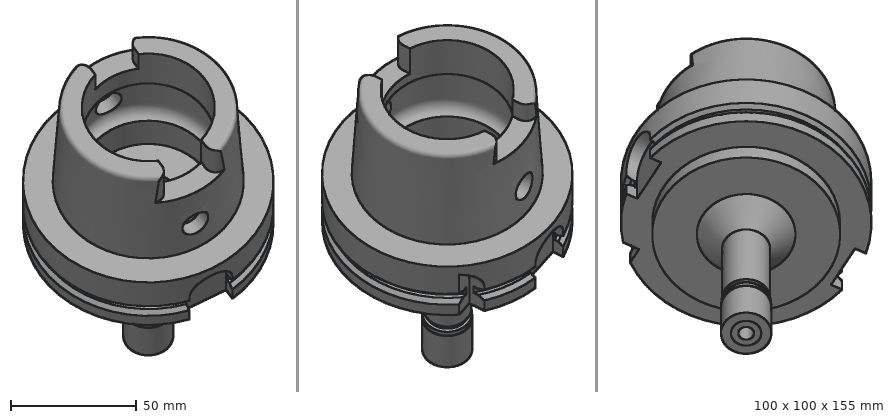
import cadquery as cq

TOTAL_HEIGHT = 155.0
FLANGE_TOP = 105.0
FLANGE_BOTTOM = 76.0
SPIGOT_BOTTOM = 68.5
SHAFT_TOP = 58.3
SHAFT_BOTTOM = 23.9
NUT_TOP = 21.1
NUT_COLLAR_BOTTOM = 18.8

TAPER_BASE_RADIUS = 38.1
TAPER_TOP_RADIUS = 35.5
TAPER_TOP_ROUND = 2.0
BORE_RADIUS = 26.5
UNDERCUT_RADIUS = 31.5
UNDERCUT_TOP = 134.7
UNDERCUT_ROUND_TOP = 114.2
UNDERCUT_BOTTOM = UNDERCUT_ROUND_TOP - (UNDERCUT_RADIUS - BORE_RADIUS)
CAVITY_FLOOR = 93.5

THREAD_HOLE_RADIUS = 12.1
THREAD_HOLE_BOTTOM = 80.6
PASSAGE_RADIUS = 6.0

DRIVE_SLOT_WIDTH = 20.0
DRIVE_SLOT_ROUND = 4.8
DRIVE_SLOT_FACE = 32.5
SHALLOW_SLOT_DEPTH = 9.9
DEEP_SLOT_DEPTH = 15.0
DRIVE_SLOTS = ((-1, SHALLOW_SLOT_DEPTH), (1, DEEP_SLOT_DEPTH))
CROSS_HOLE_DIAMETER = 12.0
CROSS_HOLE_HEIGHT = 120.3

FLANGE_RADIUS = 100.0 / 2
GROOVE_RADIUS = 46.0
GROOVE_MOUTH_TOP = 88.7
GROOVE_ROOT_TOP = 87.3
GROOVE_ROOT_BOTTOM = 83.7
GROOVE_MOUTH_BOTTOM = 82.2
GROOVE_CHAMFER_RADIUS = 47.7
KEY_SLOT_WIDTH = 20.0
KEY_SLOT_TOP = 100.3
KEY_SLOT_FLOOR = 44.0
NOTCH_FLOOR = 31.6
NOTCH_WALL_Y = 31.5

SPIGOT_RADIUS = 37.5
CONE_TOP_RADIUS = 19.7
SHAFT_RADIUS = 9.6
NECK_RADIUS = 8.2
NUT_RADIUS = 10.0
NUT_COLLAR_RADIUS = 9.9
COLLET_HOLE_RADIUS = 3.1


def revolve(outline):
    """Turn a (radius, height) outline, closed along the axis, about the Z axis."""
    return outline.close().revolve(360, (0, 0), (0, 1))


def cylinder(radius, bottom, top):
    return cq.Workplane("XY").workplane(offset=bottom).circle(radius).extrude(top - bottom)


def turned_blank():
    """Outside of the chuck: round-edged taper, grooved flange, spigot, cone, shaft and neck."""
    points = [
        (0, TOTAL_HEIGHT),
        (TAPER_TOP_RADIUS, TOTAL_HEIGHT),
        (TAPER_BASE_RADIUS, FLANGE_TOP),
        (FLANGE_RADIUS, FLANGE_TOP),
        (FLANGE_RADIUS, GROOVE_MOUTH_TOP),
        (GROOVE_CHAMFER_RADIUS, GROOVE_ROOT_TOP),
        (GROOVE_RADIUS, GROOVE_ROOT_TOP),
        (GROOVE_RADIUS, GROOVE_ROOT_BOTTOM),
        (GROOVE_CHAMFER_RADIUS, GROOVE_ROOT_BOTTOM),
        (FLANGE_RADIUS, GROOVE_MOUTH_BOTTOM),
        (FLANGE_RADIUS, FLANGE_BOTTOM),
        (SPIGOT_RADIUS, FLANGE_BOTTOM),
        (SPIGOT_RADIUS, SPIGOT_BOTTOM),
        (CONE_TOP_RADIUS, SPIGOT_BOTTOM),
        (SHAFT_RADIUS, SHAFT_TOP),
        (SHAFT_RADIUS, SHAFT_BOTTOM),
        (NECK_RADIUS, SHAFT_BOTTOM),
        (NECK_RADIUS, NUT_TOP),
        (0, NUT_TOP),
    ]
    blank = revolve(cq.Workplane("XZ").polyline(points))
    return blank.faces(">Z").edges().fillet(TAPER_TOP_ROUND)


def cavity():
    """Stepped hollow along the axis, from the top rim to the nut."""
    outline = (
        cq.Workplane("XZ")
        .moveTo(0, TOTAL_HEIGHT)
        .lineTo(BORE_RADIUS, TOTAL_HEIGHT)
        .lineTo(BORE_RADIUS, UNDERCUT_TOP)
        .lineTo(UNDERCUT_RADIUS, UNDERCUT_TOP)
        .lineTo(UNDERCUT_RADIUS, UNDERCUT_ROUND_TOP)
        .tangentArcPoint((BORE_RADIUS, UNDERCUT_BOTTOM), relative=False)
        .lineTo(BORE_RADIUS, CAVITY_FLOOR)
        .lineTo(THREAD_HOLE_RADIUS, CAVITY_FLOOR)
        .lineTo(THREAD_HOLE_RADIUS, THREAD_HOLE_BOTTOM)
        .lineTo(PASSAGE_RADIUS, THREAD_HOLE_BOTTOM)
        .lineTo(PASSAGE_RADIUS, NUT_TOP)
        .lineTo(0, NUT_TOP)
    )
    return revolve(outline)


def drive_slot(side, depth):
    """Slot through the rim towards -X (side = -1) or +X (side = 1), flaring out at its mouth."""
    half_width = DRIVE_SLOT_WIDTH / 2
    flare_start = DRIVE_SLOT_FACE - DRIVE_SLOT_ROUND
    flare_end = half_width + DRIVE_SLOT_ROUND
    mouth_half_width = DRIVE_SLOT_WIDTH
    return (
        cq.Workplane("XY", origin=(0, 0, TOTAL_HEIGHT - depth))
        .moveTo(0, -half_width)
        .lineTo(side * flare_start, -half_width)
        .tangentArcPoint((side * DRIVE_SLOT_FACE, -flare_end), relative=False)
        .lineTo(side * DRIVE_SLOT_FACE, -mouth_half_width)
        .lineTo(side * FLANGE_RADIUS, -mouth_half_width)
        .lineTo(side * FLANGE_RADIUS, mouth_half_width)
        .lineTo(side * DRIVE_SLOT_FACE, mouth_half_width)
        .lineTo(side * DRIVE_SLOT_FACE, flare_end)
        .tangentArcPoint((side * flare_start, half_width), relative=False)
        .lineTo(0, half_width)
        .close()
        .extrude(depth)
    )


def key_slot(center_y, inner_x, outer_x):
    """Round-topped slot, open at the bottom of the flange, milled along X."""
    radius = KEY_SLOT_WIDTH / 2
    arc_center = KEY_SLOT_TOP - radius
    return (
        cq.Workplane("YZ", origin=(inner_x, center_y, 0))
        .moveTo(-radius, FLANGE_BOTTOM)
        .lineTo(-radius, arc_center)
        .threePointArc((0, KEY_SLOT_TOP), (radius, arc_center))
        .lineTo(radius, FLANGE_BOTTOM)
        .close()
        .extrude(outer_x - inner_x)
    )


def make_chuck():
    chuck = turned_blank().cut(cavity())
    for side, depth in DRIVE_SLOTS:
        chuck = chuck.cut(drive_slot(side, depth))
    cross_hole = (
        cq.Workplane("YZ", origin=(0, 0, CROSS_HOLE_HEIGHT))
        .circle(CROSS_HOLE_DIAMETER / 2)
        .extrude(FLANGE_RADIUS, both=True)
    )
    chuck = chuck.cut(cross_hole)
    for inner_x, outer_x in ((-FLANGE_RADIUS, -KEY_SLOT_FLOOR), (KEY_SLOT_FLOOR, FLANGE_RADIUS)):
        chuck = chuck.cut(key_slot(0, inner_x, outer_x))
    notch_center_y = NOTCH_WALL_Y + KEY_SLOT_WIDTH / 2
    return chuck.cut(key_slot(notch_center_y, -FLANGE_RADIUS, -NOTCH_FLOOR))


def make_nut():
    """Clamping nut: a sleeve with a slightly smaller collar at its top."""
    body = cylinder(NUT_RADIUS, 0, NUT_COLLAR_BOTTOM)
    collar = cylinder(NUT_COLLAR_RADIUS, NUT_COLLAR_BOTTOM, NUT_TOP)
    return body.union(collar).cut(cylinder(PASSAGE_RADIUS, 0, NUT_TOP))


def make_collet():
    """Collet filling the nut, with the tool hole through it."""
    return cylinder(PASSAGE_RADIUS, 0, NUT_TOP).cut(cylinder(COLLET_HOLE_RADIUS, 0, NUT_TOP))


chuck = make_chuck()
nut = make_nut()
collet = make_collet()

result = cq.Compound.makeCompound([chuck.val(), nut.val(), collet.val()])